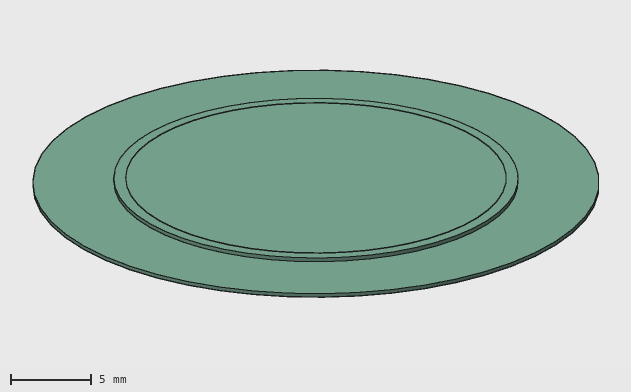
import cadquery as cq

total_height = 0.52
plate_diameter = 35.0
plate_thickness = 0.25
disc_diameter = 25.0
electrode_diameter = 23.52
electrode_thickness = 0.028
disc_thickness = total_height - plate_thickness - electrode_thickness


def stacked_disc(diameter, thickness, base_height):
    """Round layer centred on Z whose underside sits at base_height."""
    return cq.Workplane("XY").workplane(offset=base_height).circle(diameter / 2).extrude(thickness)


plate = stacked_disc(plate_diameter, plate_thickness, 0)

disc = stacked_disc(disc_diameter, disc_thickness, plate_thickness)

electrode = stacked_disc(electrode_diameter, electrode_thickness, plate_thickness + disc_thickness)

result = plate.union(disc).union(electrode)